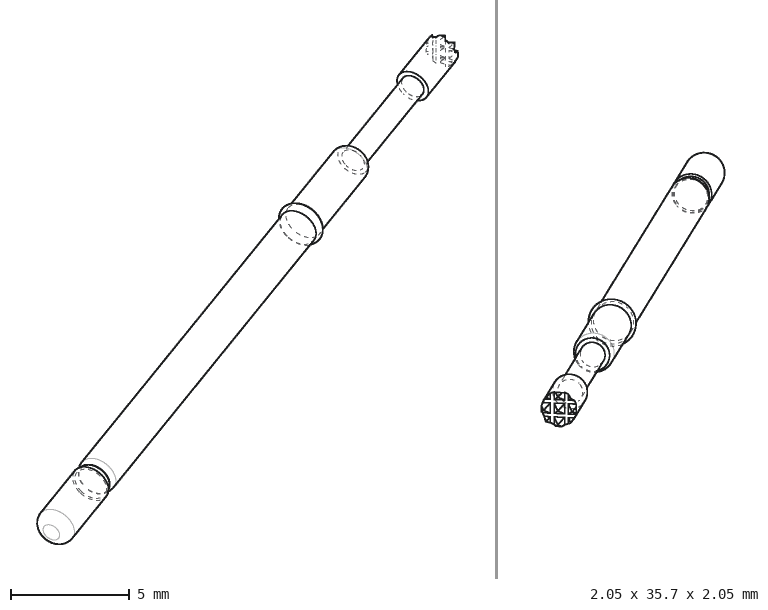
import cadquery as cq
import math

length = 35.7
y_tip = length / 2

head_radius = 0.75
stem_radius = 0.55
barrel_radius = 0.85
flange_radius = 2.05 / 2
groove_radius = 0.75

head_length = 2.93
barrel_start = 8.35
flange_start = 12.8
flange_width = 0.5
groove_start = 31.8
groove_width = 0.32

round_radius = 0.45
front_tube_round_length = 0.32

teeth_across = 3
tooth_pitch = 0.6
tooth_depth = 0.4
valley_flank_angle = 30.0
valley_floor_width = tooth_pitch - 2 * tooth_depth * math.tan(math.radians(valley_flank_angle))


def rod(radius, front, rear):
    """Cylinder along Y spanning two distances behind the crown tips."""
    plane = cq.Workplane("XZ", origin=(0, y_tip - front, 0))
    return plane.circle(radius).extrude(rear - front)


def make_plunger():
    head = rod(head_radius, 0, head_length)
    stem = rod(stem_radius, head_length, barrel_start + round_radius)
    return head.union(stem)


def make_front_tube():
    """Barrel tube whose rounded ends are cut off before the rounding is complete."""
    trimmed_length = round_radius - front_tube_round_length
    full_tube = rod(barrel_radius, barrel_start - trimmed_length, groove_start + trimmed_length)
    rounded_tube = full_tube.faces("|Y").edges().fillet(round_radius)
    return rounded_tube.intersect(rod(barrel_radius, barrel_start, groove_start))


def make_rear_tube():
    """Groove floor and the tail of the barrel with its rounded end."""
    groove_end = groove_start + groove_width
    groove_floor = rod(groove_radius, groove_start, groove_end)
    tail = rod(barrel_radius, groove_end, length).faces("<Y").edges().fillet(round_radius)
    return groove_floor.union(tail)


def make_flange():
    """Press ring with an arched rim."""
    y_front = y_tip - flange_start
    y_middle = y_front - flange_width / 2
    y_rear = y_front - flange_width
    return (
        cq.Workplane("XY")
        .moveTo(0, y_front)
        .lineTo(barrel_radius, y_front)
        .threePointArc((flange_radius, y_middle), (barrel_radius, y_rear))
        .lineTo(0, y_rear)
        .close()
        .revolve(360, (0, 0, 0), (0, 1, 0))
    )


def make_valleys():
    """Grooves along Z across the head: two between the teeth and one outside each outer row."""
    top_half = tooth_pitch / 2
    floor_half = valley_floor_width / 2
    y_floor = y_tip - tooth_depth
    valley = (
        cq.Workplane("XY")
        .polyline([(-top_half, y_tip), (-floor_half, y_floor), (floor_half, y_floor), (top_half, y_tip)])
        .close()
        .extrude(head_radius, both=True)
    )
    valleys = cq.Workplane("XY")
    for index in range(teeth_across + 1):
        x_middle = (index - teeth_across / 2) * tooth_pitch
        valleys = valleys.add(valley.translate((x_middle, 0, 0)))
    return valleys.combine()


valleys_along_z = make_valleys()
valleys_along_x = valleys_along_z.rotate((0, 0, 0), (0, 1, 0), 90)

plunger = make_plunger().cut(valleys_along_z).cut(valleys_along_x)
result = plunger.union(make_front_tube()).union(make_rear_tube()).union(make_flange())